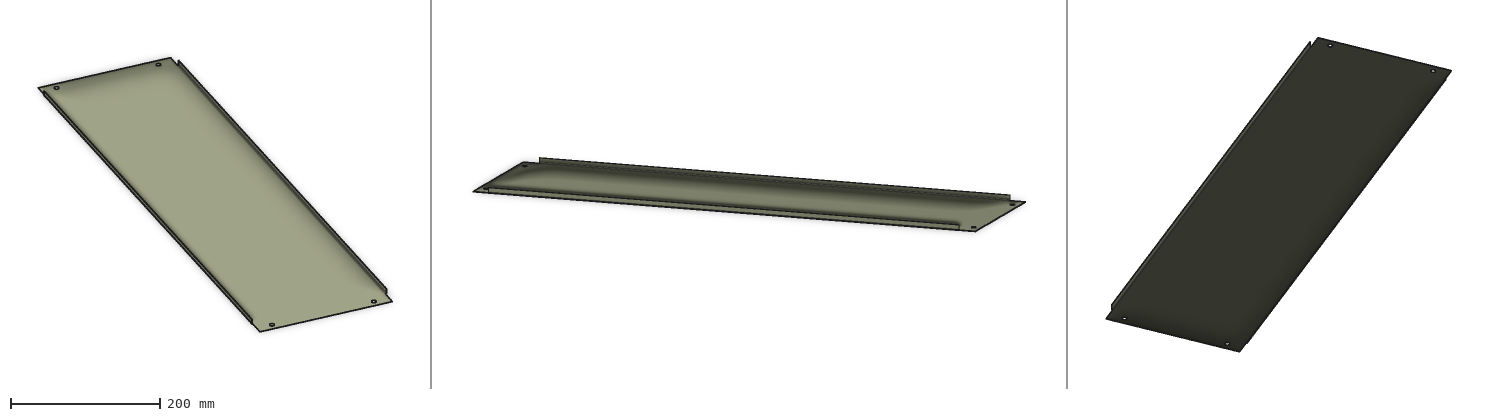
import cadquery as cq

length = 717.0
width = 199.0
height = 8.0
thickness = 1.0
outer_bend_radius = 2.0
flange_setback = 22.6
hole_diameter = 6.5
hole_end_distance = 10.5
hole_spacing_y = 150.0

flange_length = length - 2 * flange_setback
inner_bend_radius = outer_bend_radius - thickness
half_width = width / 2
bend_start = half_width - outer_bend_radius
hole_spacing_x = length - 2 * hole_end_distance


def make_plate():
    """Flat plate with its underside on Z = 0, ending where the bends begin."""
    return cq.Workplane("XY").box(length, 2 * bend_start, thickness, centered=(True, True, False))


def make_flange():
    """Upturned flange with its bend, along the +Y edge of the plate."""
    profile = (
        cq.Workplane("YZ")
        .moveTo(bend_start, 0)
        .radiusArc((half_width, outer_bend_radius), -outer_bend_radius)
        .lineTo(half_width, height)
        .lineTo(half_width - thickness, height)
        .lineTo(half_width - thickness, outer_bend_radius)
        .radiusArc((bend_start, thickness), inner_bend_radius)
        .close()
    )
    return profile.extrude(flange_length / 2, both=True)


def make_holes():
    """Four through-hole cutters, one near each corner of the plate."""
    return (
        cq.Workplane("XY")
        .rect(hole_spacing_x, hole_spacing_y, forConstruction=True)
        .vertices()
        .circle(hole_diameter / 2)
        .extrude(thickness)
    )


flange = make_flange()
result = make_plate().union(flange).union(flange.mirror("XZ")).cut(make_holes())